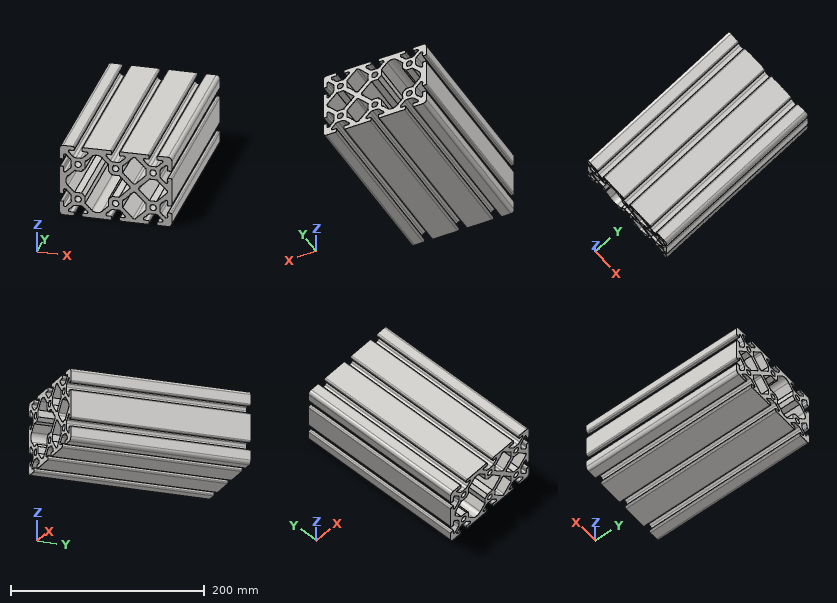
import cadquery as cq
import math

PITCH = 40.0
HALF_PITCH = PITCH / 2
CORE_XS = (-PITCH, 0.0, PITCH)
CORE_ZS = (-HALF_PITCH, HALF_PITCH)
CORE_HALF = 7.5
CORE_HOLE_DIAMETER = 6.8

WIDTH = PITCH * len(CORE_XS)
LENGTH = 200.0
HEIGHT = PITCH * len(CORE_ZS)
CORNER_RADIUS = 4.0

SLOT_MOUTH = 8.2
SLOT_DEPTH = 12.5
LIP_THICKNESS = 4.5
LIP_OUTER_RADIUS = 1.5
LIP_INNER_RADIUS = 1.0
SLOT_FLANK_SUM = 16.8
UNDERCUT_RADIUS = 1.5
SLOT_FLOOR_RADIUS = 4.5

CELL_REACH = 16.2
CELL_HALF = HALF_PITCH - CORE_HALF
CELL_FLAT = CELL_REACH - CELL_HALF
TIP_RADIUS = 2.0
LOBE_RADIUS = 7.5

POSITION_TOLERANCE = 0.02


def prism(points):
    """Full-length bar along Y with the given XZ outline."""
    return cq.Workplane("XZ").polyline(points).close().extrude(LENGTH / 2, both=True)


def round_edges(body, points, radius):
    """Fillet the lengthwise edges that pass through the given XZ points."""
    edges = body.edges("|Y")
    chosen = [
        edge
        for edge in edges.vals()
        if any(
            math.dist((edge.Center().x, edge.Center().z), point) < POSITION_TOLERANCE
            for point in points
        )
    ]
    return body.newObject(chosen).fillet(radius)


def mirrored(points):
    """The points followed by their mirror images across the vertical axis."""
    return points + [(-x, z) for x, z in reversed(points)]


def make_slot_cutter():
    """T-slot entering the profile downwards, mouth centred on the origin."""
    mouth_top = (SLOT_MOUTH / 2, 0)
    mouth_bottom = (SLOT_MOUTH / 2, -LIP_THICKNESS)
    undercut = (SLOT_FLANK_SUM - LIP_THICKNESS, -LIP_THICKNESS)
    floor = (SLOT_FLANK_SUM - SLOT_DEPTH, -SLOT_DEPTH)
    flare = (SLOT_MOUTH / 2 + 2 * LIP_OUTER_RADIUS, 0)
    flare_top = (flare[0], LIP_OUTER_RADIUS)
    outline = mirrored([flare_top, flare, mouth_top, mouth_bottom, undercut, floor])
    cutter = prism(outline)
    cutter = round_edges(cutter, mirrored([mouth_top]), LIP_OUTER_RADIUS)
    cutter = round_edges(cutter, mirrored([mouth_bottom]), LIP_INNER_RADIUS)
    cutter = round_edges(cutter, mirrored([undercut]), UNDERCUT_RADIUS)
    return round_edges(cutter, mirrored([floor]), SLOT_FLOOR_RADIUS)


def cut_slots(body):
    slot = make_slot_cutter()

    def place(turn, x, z):
        return slot.rotate((0, 0, 0), (0, 1, 0), turn).translate((x, 0, z))

    for x in CORE_XS:
        body = body.cut(place(0, x, HEIGHT / 2))
        body = body.cut(place(180, x, -HEIGHT / 2))
    for z in CORE_ZS:
        body = body.cut(place(90, WIDTH / 2, z))
        body = body.cut(place(-90, -WIDTH / 2, z))
    return body


def make_upright_cell():
    """Cell between two cores side by side, centred on the origin."""
    top, bottom = (0, CELL_REACH), (0, -CELL_REACH)
    upper, lower = (CELL_HALF, CELL_FLAT), (CELL_HALF, -CELL_FLAT)
    cell = prism([top, upper, lower, bottom, (-CELL_HALF, -CELL_FLAT), (-CELL_HALF, CELL_FLAT)])
    return round_edges(cell, [top, bottom], TIP_RADIUS)


def make_large_chamber():
    """Four cells merged around the point midway between the left four cores, centred on the origin."""
    side_tip = HALF_PITCH + CELL_REACH
    core_near = HALF_PITCH - CELL_FLAT
    core_far = HALF_PITCH + CELL_FLAT
    left, right = (-side_tip, 0), (side_tip, 0)
    top, bottom = (0, side_tip), (0, -side_tip)
    quarter = [(core_far, CELL_HALF), (core_near, CELL_HALF), (CELL_HALF, core_near), (CELL_HALF, core_far)]
    upper_left = [(-x, z) for x, z in reversed(quarter)]
    lower_left = [(-x, -z) for x, z in quarter]
    lower_right = [(x, -z) for x, z in reversed(quarter)]
    chamber = prism([right, *quarter, top, *upper_left, left, *lower_left, bottom, *lower_right])
    chamber = round_edges(chamber, [right], TIP_RADIUS)
    return round_edges(chamber, [left, top, bottom], LOBE_RADIUS)


def cut_hollows(body):
    upright = make_upright_cell()
    for z in CORE_ZS:
        body = body.cut(upright.translate((HALF_PITCH, 0, z)))
    lying = upright.rotate((0, 0, 0), (0, 1, 0), 90)
    body = body.cut(lying.translate((PITCH, 0, 0)))
    return body.cut(make_large_chamber().translate((-HALF_PITCH, 0, 0)))


def cut_core_holes(body):
    centres = [(x, z) for x in CORE_XS for z in CORE_ZS]
    holes = (
        cq.Workplane("XZ")
        .pushPoints(centres)
        .circle(CORE_HOLE_DIAMETER / 2)
        .extrude(LENGTH / 2, both=True)
    )
    return body.cut(holes)


profile = cq.Workplane("XY").box(WIDTH, LENGTH, HEIGHT).edges("|Y").fillet(CORNER_RADIUS)
profile = cut_slots(profile)
profile = cut_hollows(profile)
result = cut_core_holes(profile)